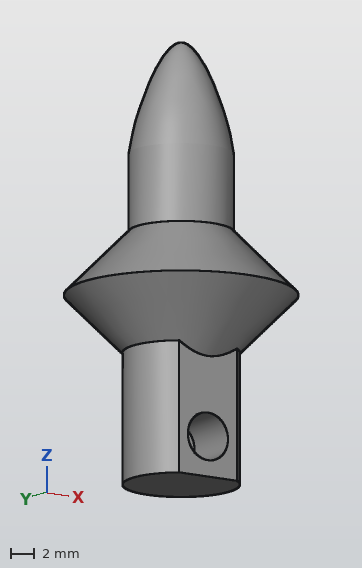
import cadquery as cq

shank_radius = 5.0
collar_radius = 10.0
pin_radius = 4.5

total_height = 38.5
collar_rim_z = 16.5
collar_top_z = collar_rim_z + collar_radius - pin_radius
lower_cone_apex_z = collar_rim_z - collar_radius
nose_base_z = 28.75

flat_distance = 4.0
hole_diameter = 4.15
hole_center_z = 3.5
hole_depth = 5.0

nose_tip_pull = 1.92
nose_base_pull = 2.85
nose_base_lean = 0.28


def make_shank():
    """Round shank, reaching up into the collar, with a flat and a blind hole."""
    shank = cq.Workplane("XY").circle(shank_radius).extrude(collar_rim_z)
    beyond_flat = (
        cq.Workplane("XY")
        .center(0, -flat_distance - shank_radius / 2)
        .rect(2 * shank_radius, shank_radius)
        .extrude(collar_rim_z)
    )
    hole = (
        cq.Workplane("XZ", origin=(0, -flat_distance, hole_center_z))
        .circle(hole_diameter / 2)
        .extrude(-hole_depth)
    )
    return shank.cut(beyond_flat).cut(hole)


def make_collar_and_pin():
    """Double-cone collar carrying the pin and its bullet nose, turned about Z.

    The lower cone runs on to its apex inside the shank, so it overhangs the
    flat where the shank is cut back.
    """
    nose_base = (pin_radius, nose_base_z)
    nose_base_handle = (pin_radius - nose_base_lean, nose_base_z + nose_base_pull)
    nose_tip_handle = (nose_tip_pull, total_height)
    nose_tip = (0, total_height)
    profile = (
        cq.Workplane("XZ")
        .moveTo(0, lower_cone_apex_z)
        .lineTo(collar_radius, collar_rim_z)
        .lineTo(pin_radius, collar_top_z)
        .lineTo(*nose_base)
        .bezier([nose_base, nose_base_handle, nose_tip_handle, nose_tip])
        .close()
    )
    return profile.revolve(360, (0, 0, 0), (0, 1, 0))


result = make_shank().union(make_collar_and_pin())